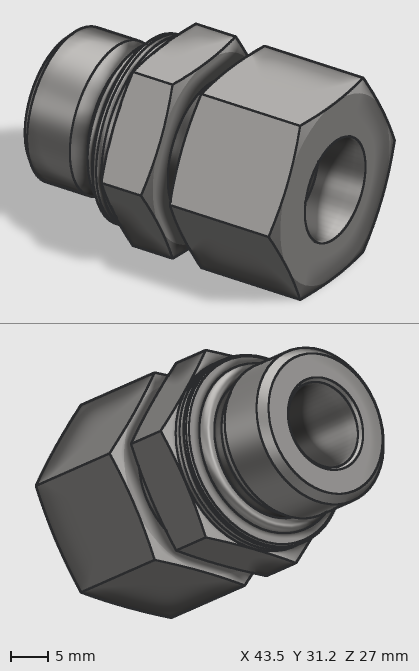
import cadquery as cq
import math


thread_radius = 22.0 / 2
neck_radius = 19.74 / 2
hex_flats = 27.0
hex_inradius = hex_flats / 2
hex_circumdiameter = hex_flats / math.cos(math.radians(30))
hex_chamfer_angle = 15.0

stud_thread_end = 8.0
stud_neck_start = 10.1
collar_start = 13.0
hex_start = 15.5
hex_end = 23.0
nut_start = 26.5
nut_end = 43.5
body_end = 36.0

stud_chamfer = 1.15
bore_radius = 12.0 / 2
bore_chamfer = 0.5
collar_radius = 26.9 / 2
collar_chamfer = 0.28
groove_center = 14.25
groove_radius = 0.45
groove_depth = 0.3
union_chamfer_start = 25.65
union_chamfer = thread_radius - neck_radius

ring_section_radius = 1.01
ring_center_radius = neck_radius + ring_section_radius
ring_center_x = collar_start - ring_section_radius

tube_radius = 15.0 / 2


def turned(profile):
    """Revolve a closed (x, radius) profile about the X axis."""
    return profile.close().revolve(360, (0, 0, 0), (1, 0, 0))


def cylinder(start, end, radius):
    return cq.Workplane("YZ").workplane(offset=start).circle(radius).extrude(end - start)


def chamfered_hexagon(start, end):
    """Hexagon with flats up and down, its corners turned off by a shallow cone at both ends."""
    prism = (
        cq.Workplane("YZ").workplane(offset=start)
        .polygon(6, hex_circumdiameter).extrude(end - start)
    )
    corner_radius = hex_circumdiameter / 2
    corner_setback = (corner_radius - hex_inradius) * math.tan(math.radians(hex_chamfer_angle))
    envelope = turned(
        cq.Workplane("XY")
        .moveTo(start, 0)
        .lineTo(start, hex_inradius)
        .lineTo(start + corner_setback, corner_radius)
        .lineTo(end - corner_setback, corner_radius)
        .lineTo(end, hex_inradius)
        .lineTo(end, 0)
    )
    return prism.intersect(envelope)


def make_stud():
    """Chamfered stud thread, its neck and the grooved collar, up to the hexagon."""
    groove_center_radius = collar_radius + groove_radius - groove_depth
    groove_half_width = math.sqrt(groove_radius**2 - (groove_radius - groove_depth)**2)
    return turned(
        cq.Workplane("XY")
        .moveTo(0, 0)
        .lineTo(0, thread_radius - stud_chamfer)
        .lineTo(stud_chamfer, thread_radius)
        .lineTo(stud_thread_end, thread_radius)
        .lineTo(stud_neck_start, neck_radius)
        .lineTo(collar_start, neck_radius)
        .lineTo(collar_start, collar_radius - collar_chamfer)
        .lineTo(collar_start + collar_chamfer, collar_radius)
        .lineTo(groove_center - groove_half_width, collar_radius)
        .threePointArc(
            (groove_center, groove_center_radius - groove_radius),
            (groove_center + groove_half_width, collar_radius),
        )
        .lineTo(hex_start, collar_radius)
        .lineTo(hex_start, 0)
    )


def make_union_end():
    """Neck behind the hexagon and the thread that carries the nut."""
    return turned(
        cq.Workplane("XY")
        .moveTo(hex_end, 0)
        .lineTo(hex_end, neck_radius)
        .lineTo(union_chamfer_start, neck_radius)
        .lineTo(union_chamfer_start + union_chamfer, thread_radius)
        .lineTo(body_end, thread_radius)
        .lineTo(body_end, 0)
    )


def make_body():
    bore = cylinder(0, body_end, bore_radius).union(
        turned(
            cq.Workplane("XY")
            .moveTo(0, 0)
            .lineTo(0, bore_radius + bore_chamfer)
            .lineTo(bore_chamfer, bore_radius)
            .lineTo(bore_chamfer, 0)
        )
    )
    outside = make_stud().union(chamfered_hexagon(hex_start, hex_end)).union(make_union_end())
    return outside.cut(bore)


def make_sealing_ring():
    return (
        cq.Workplane("XY")
        .center(ring_center_x, ring_center_radius)
        .circle(ring_section_radius)
        .revolve(360, (0, -ring_center_radius, 0), (1, -ring_center_radius, 0))
    )


def make_nut():
    """Union nut: threaded bore over the body end, then the tube hole out of the far face."""
    return (
        chamfered_hexagon(nut_start, nut_end)
        .cut(cylinder(nut_start, body_end, thread_radius))
        .cut(cylinder(body_end, nut_end, tube_radius))
    )


body = make_body()
sealing_ring = make_sealing_ring()
nut = make_nut()

result = cq.Compound.makeCompound([body.val(), sealing_ring.val(), nut.val()])